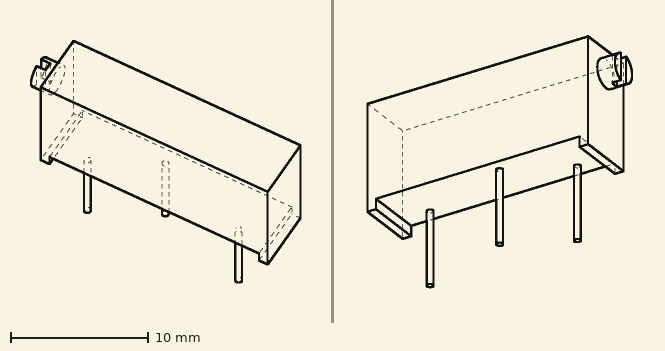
import cadquery as cq


overall_length = 20.57
screw_length = 1.52
body_length = overall_length - screw_length
body_width = 4.83
body_height = 8.99
foot_length = 0.75
foot_height = 0.86

screw_diameter = 2.37
screw_drop = 2.0
slot_width = 0.68
slot_depth = 0.76

overall_height = 14.32
pin_diameter = 0.51
pin_bottom = body_height - overall_height
pin_row_spacing = 2.55
first_pin_x = 3.27
second_pin_x = first_pin_x + 5.08
third_pin_x = second_pin_x + 7.61
front_row_y = -pin_row_spacing / 2
back_row_y = pin_row_spacing / 2
pin_positions = [
    (first_pin_x, front_row_y),
    (second_pin_x, back_row_y),
    (third_pin_x, front_row_y),
]


def make_body():
    """Box with a full-width recess underneath that leaves a foot at each end."""
    low_corner = (False, True, False)
    block = cq.Workplane("XY").box(body_length, body_width, body_height, centered=low_corner)
    recess_length = body_length - 2 * foot_length
    recess = cq.Workplane("XY").box(recess_length, body_width, foot_height, centered=low_corner)
    return block.cut(recess.translate((foot_length, 0, 0)))


def make_screw():
    """Cylinder pointing along -X with a vertical screwdriver slot in its end."""
    shaft = cq.Workplane("YZ").circle(screw_diameter / 2).extrude(-screw_length)
    slot = cq.Workplane("XY").box(slot_depth, slot_width, screw_diameter, centered=(False, True, True))
    screw = shaft.cut(slot.translate((-screw_length, 0, 0)))
    return screw.translate((0, 0, body_height - screw_drop))


def make_pins():
    """Round pins hanging from the recessed underside of the body."""
    return (
        cq.Workplane("XY", origin=(0, 0, pin_bottom))
        .pushPoints(pin_positions)
        .circle(pin_diameter / 2)
        .extrude(foot_height - pin_bottom)
    )


result = make_body().union(make_screw()).union(make_pins())